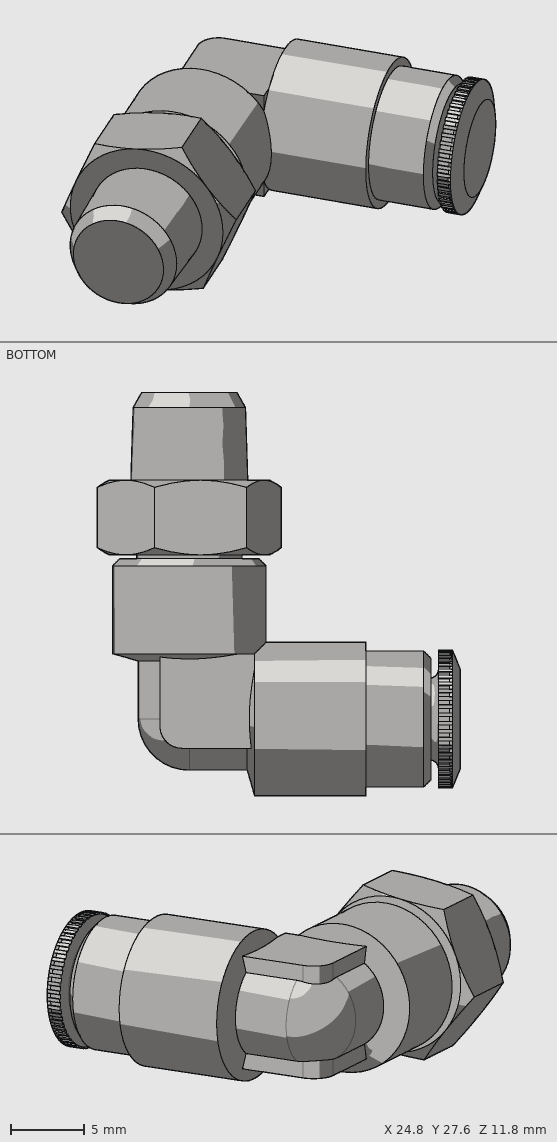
import cadquery as cq
import math


elbow_radius = 3.5
pad_half_height = 4.0
pad_outer_offset = 2.0
pad_corner_radius = 1.5

barrel_radius = 5.25
barrel_start = 4.45
shoulder_length = 0.5
barrel_chamfer = 0.5

socket_barrel_end = 12.05
sleeve_radius = 4.65
sleeve_end = 16.5
sleeve_chamfer = 0.5

collar_neck_radius = 2.8
flare_radius = 0.6
collar_start = 17.0
collar_radius = 4.7
collar_rim_end = 17.97
collar_end = 18.5
collar_face_radius = 3.4

knurl_count = 52
knurl_depth = 0.12
knurl_pitch = 2 * math.pi * collar_radius / knurl_count
groove_share = 0.55
groove_width = groove_share * knurl_pitch
knurl_ramp_length = 0.2

stud_barrel_end = 10.95
swivel_neck_radius = 3.6
hex_start = 11.2
hex_end = 16.3
hex_across_flats = 11.0
hex_angle = 8.05
hex_chamfer_angle = 30.0
stud_end = 22.3
stud_root_radius = 4.0
thread_taper = 1 / 16
stud_chamfer_length = 1.05
stud_tip_radius = 3.25


def revolve_on_x(profile):
    """Revolve an XY profile around the X axis."""
    return profile.close().revolve(360, (0, 0, 0), (1, 0, 0))


def revolve_on_stud(profile):
    """Revolve a (distance, radius) profile around X, then turn its axis to -Y."""
    return revolve_on_x(profile).rotate((0, 0, 0), (0, 0, 1), -90)


def make_elbow():
    """Two round arms joined by a ball, with a flat-sided pad across the bend."""
    socket_arm = cq.Workplane("YZ").circle(elbow_radius).extrude(barrel_start)
    stud_arm = cq.Workplane("XZ").circle(elbow_radius).extrude(barrel_start)
    ball = cq.Workplane("XY").sphere(elbow_radius)
    pad_side = pad_outer_offset + barrel_start
    pad = (
        cq.Workplane("XY")
        .box(pad_side, pad_side, 2 * pad_half_height)
        .edges("|Z and <X and >Y")
        .fillet(pad_corner_radius)
    )
    pad_centre = (barrel_start - pad_outer_offset) / 2
    pad = pad.translate((pad_centre, -pad_centre, 0))
    return ball.union(socket_arm).union(stud_arm).union(pad)


def barrel_outline():
    """Start of a barrel profile: on the axis, then up the conical shoulder."""
    shoulder_start = barrel_start - shoulder_length
    return (
        cq.Workplane("XY")
        .moveTo(shoulder_start, 0)
        .lineTo(shoulder_start, elbow_radius)
        .lineTo(barrel_start, barrel_radius)
    )


def make_socket():
    """Barrel and sleeve of the tube socket."""
    return revolve_on_x(
        barrel_outline()
        .lineTo(socket_barrel_end, barrel_radius)
        .lineTo(socket_barrel_end, sleeve_radius)
        .lineTo(sleeve_end - sleeve_chamfer, sleeve_radius)
        .lineTo(sleeve_end, sleeve_radius - sleeve_chamfer)
        .lineTo(sleeve_end, 0)
    )


def make_collar():
    """Release collar with a flared neck, knurled rim and conical face."""
    collar = revolve_on_x(
        cq.Workplane("XY")
        .moveTo(socket_barrel_end, 0)
        .lineTo(socket_barrel_end, collar_neck_radius)
        .lineTo(collar_start - flare_radius, collar_neck_radius)
        .tangentArcPoint((flare_radius, flare_radius), relative=True)
        .lineTo(collar_start, collar_radius)
        .lineTo(collar_rim_end, collar_radius)
        .lineTo(collar_end, collar_face_radius)
        .lineTo(collar_end, 0)
    )
    return collar.cut(make_knurl_grooves())


def make_knurl_grooves():
    """Ring of axial grooves whose floors ramp out at the end of the rim."""
    floor_radius = collar_radius - knurl_depth
    groove_top = collar_radius + knurl_depth
    ramp_start = collar_rim_end - knurl_ramp_length
    ramp_top = collar_rim_end + knurl_ramp_length
    groove = (
        cq.Workplane("XY")
        .moveTo(collar_start, floor_radius)
        .lineTo(ramp_start, floor_radius)
        .lineTo(collar_rim_end, collar_radius)
        .lineTo(ramp_top, groove_top)
        .lineTo(collar_start, groove_top)
        .close()
        .extrude(groove_width / 2, both=True)
        .val()
    )
    step = 360 / knurl_count
    grooves = []
    for index in range(knurl_count):
        turned = groove.rotate(cq.Vector(0, 0, 0), cq.Vector(1, 0, 0), index * step)
        grooves.append(turned)
    return cq.Workplane(obj=cq.Compound.makeCompound(grooves))


def make_stud_barrel():
    """Barrel on the stud branch, with the swivel neck that enters the hex."""
    return revolve_on_stud(
        barrel_outline()
        .lineTo(stud_barrel_end - barrel_chamfer, barrel_radius)
        .lineTo(stud_barrel_end, barrel_radius - barrel_chamfer)
        .lineTo(stud_barrel_end, swivel_neck_radius)
        .lineTo(hex_start, swivel_neck_radius)
        .lineTo(hex_start, 0)
    )


def make_hex():
    """Hexagon with its corners turned down to the inscribed circle at both ends."""
    flat_radius = hex_across_flats / 2
    corner_radius = flat_radius / math.cos(math.pi / 6)
    chamfer_length = (corner_radius - flat_radius) * math.tan(math.radians(hex_chamfer_angle))
    hexagon = (
        cq.Workplane("XZ", origin=(0, -hex_start, 0))
        .polygon(6, 2 * corner_radius)
        .extrude(hex_end - hex_start)
        .rotate((0, 0, 0), (0, 1, 0), -hex_angle)
    )
    turned_envelope = revolve_on_stud(
        cq.Workplane("XY")
        .moveTo(hex_start, 0)
        .lineTo(hex_start, flat_radius)
        .lineTo(hex_start + chamfer_length, corner_radius)
        .lineTo(hex_end - chamfer_length, corner_radius)
        .lineTo(hex_end, flat_radius)
        .lineTo(hex_end, 0)
    )
    return hexagon.intersect(turned_envelope)


def make_stud():
    """Plain tapered stud in place of the pipe thread."""
    taper_end = stud_end - stud_chamfer_length
    taper_end_radius = stud_root_radius - (taper_end - hex_end) * thread_taper / 2
    return revolve_on_stud(
        cq.Workplane("XY")
        .moveTo(hex_end, 0)
        .lineTo(hex_end, stud_root_radius)
        .lineTo(taper_end, taper_end_radius)
        .lineTo(stud_end, stud_tip_radius)
        .lineTo(stud_end, 0)
    )


result = (
    make_elbow()
    .union(make_socket())
    .union(make_collar())
    .union(make_stud_barrel())
    .union(make_hex())
    .union(make_stud())
)